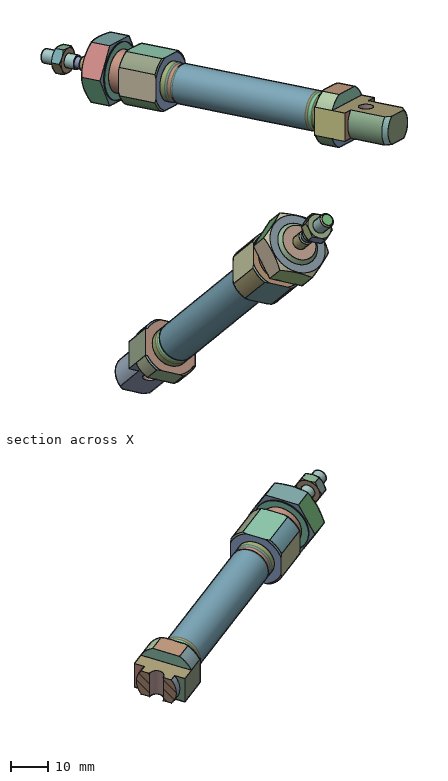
import cadquery as cq
import math

TOTAL_LENGTH = 111.0

CORNER_CHAMFER_ANGLE = 30.0

ROD_DIAMETER = 4.0
ROD_NECK_DIAMETER = 3.2
ROD_TIP_CHAMFER = (ROD_DIAMETER - ROD_NECK_DIAMETER) / 2
ROD_NECK_START = 10.4
ROD_NECK_END = 12.0
ROD_NECK_TAPER = 0.39
ROD_LENGTH = 16.0

ROD_NUT_START = 4.5
ROD_NUT_THICKNESS = 3.0
ROD_NUT_FLATS = 7.0
ROD_NUT_FACE_DIAMETER = ROD_NUT_FLATS

NOSE_START = ROD_LENGTH
NOSE_DIAMETER = 12.0
NOSE_TIP_DIAMETER = 10.0
NOSE_CHAMFER = (NOSE_DIAMETER - NOSE_TIP_DIAMETER) / 2

MOUNT_NUT_START = NOSE_START + NOSE_CHAMFER
MOUNT_NUT_THICKNESS = 7.0
MOUNT_NUT_FLATS = 17.0
MOUNT_NUT_FACE_DIAMETER = 16.6
MOUNT_NUT_WASHER_DIAMETER = 16.0
MOUNT_NUT_WASHER_THICKNESS = 0.3

CAP_FLATS = 15.0
CAP_DIAMETER = 17.0
CAP_FACE_DIAMETER = 16.0
CAP_CHAMFER = (CAP_DIAMETER - CAP_FACE_DIAMETER) / 2 * math.tan(math.radians(CORNER_CHAMFER_ANGLE))
FRONT_CAP_START = 28.0
FRONT_CAP_LENGTH = 11.8
FRONT_CAP_END = FRONT_CAP_START + FRONT_CAP_LENGTH
REAR_CAP_START = 89.5
REAR_CAP_ROUND_END = 95.0
REAR_CAP_END = 99.0

TUBE_DIAMETER = 11.0
GROOVE_DEPTH = 0.5
GROOVE_WIDTH = 2.3
GROOVE_CENTERS = (42.4, 86.5)

TONGUE_THICKNESS = 8.0
TONGUE_DIAMETER = 12.0
TONGUE_TIP_DIAMETER = 10.0
TONGUE_CHAMFER_LENGTH = 1.3
PIN_HOLE_DIAMETER = 4.0
PIN_HOLE_X = 101.0


def plane_at(x):
    """Plane across the axis at x, with its local x along +Y and normal along +X."""
    return cq.Workplane("YZ", origin=(x, 0, 0))


def cylinder(start, end, diameter):
    return plane_at(start).circle(diameter / 2).extrude(end - start)


def revolve_profile(points):
    """Solid of revolution about the axis from (x, radius) points, closed along the axis."""
    outline = [(points[0][0], 0), *points, (points[-1][0], 0)]
    return cq.Workplane("XY").polyline(outline).close().revolve(360, (0, 0, 0), (1, 0, 0))


def hex_prism(start, thickness, flats):
    """Hexagonal bar with two flats facing +Z and -Z."""
    corner_diameter = flats / math.cos(math.pi / 6)
    return plane_at(start).polygon(6, corner_diameter).extrude(thickness)


def nut_blank(start, thickness, flats, face_diameter, chamfer_rear):
    """Hexagonal nut body, its corners chamfered by cones down to the face diameter."""
    corner_radius = flats / 2 / math.cos(math.pi / 6)
    face_radius = face_diameter / 2
    drop = (corner_radius - face_radius) * math.tan(math.radians(CORNER_CHAMFER_ANGLE))
    end = start + thickness
    envelope = [(start, face_radius), (start + drop, corner_radius)]
    if chamfer_rear:
        envelope += [(end - drop, corner_radius), (end, face_radius)]
    else:
        envelope += [(end, corner_radius)]
    return hex_prism(start, thickness, flats).intersect(revolve_profile(envelope))


def make_cap(start, end, chamfer_rear):
    """Square block with corners rounded about the axis, chamfered at the front and optionally the rear."""
    radius = CAP_DIAMETER / 2
    envelope = [(start, CAP_FACE_DIAMETER / 2), (start + CAP_CHAMFER, radius)]
    if chamfer_rear:
        envelope += [(end - CAP_CHAMFER, radius), (end, CAP_FACE_DIAMETER / 2)]
    else:
        envelope += [(end, radius)]
    block = plane_at(start).rect(CAP_FLATS, CAP_FLATS).extrude(end - start)
    return block.intersect(revolve_profile(envelope))


def make_rod():
    radius = ROD_DIAMETER / 2
    neck_radius = ROD_NECK_DIAMETER / 2
    rod = revolve_profile([
        (0, radius - ROD_TIP_CHAMFER),
        (ROD_TIP_CHAMFER, radius),
        (ROD_NECK_START, radius),
        (ROD_NECK_START, neck_radius),
        (ROD_NECK_END, neck_radius),
        (ROD_NECK_END + ROD_NECK_TAPER, radius),
        (ROD_LENGTH, radius),
    ])
    nut = nut_blank(ROD_NUT_START, ROD_NUT_THICKNESS, ROD_NUT_FLATS, ROD_NUT_FACE_DIAMETER, True)
    return rod.union(nut)


def make_nose():
    return revolve_profile([
        (NOSE_START, NOSE_TIP_DIAMETER / 2),
        (NOSE_START + NOSE_CHAMFER, NOSE_DIAMETER / 2),
        (FRONT_CAP_START, NOSE_DIAMETER / 2),
    ])


def make_mount_nut():
    end = MOUNT_NUT_START + MOUNT_NUT_THICKNESS
    hex_thickness = MOUNT_NUT_THICKNESS - MOUNT_NUT_WASHER_THICKNESS
    blank = nut_blank(MOUNT_NUT_START, hex_thickness, MOUNT_NUT_FLATS, MOUNT_NUT_FACE_DIAMETER, False)
    return blank.union(cylinder(end - MOUNT_NUT_WASHER_THICKNESS, end, MOUNT_NUT_WASHER_DIAMETER))


def make_tube():
    """Plain tube with grooves whose S-shaped flanks run tangent into the tube and the floor."""
    radius = TUBE_DIAMETER / 2
    floor_radius = radius - GROOVE_DEPTH
    half_width = GROOVE_WIDTH / 2
    profile = cq.Workplane("XY").moveTo(FRONT_CAP_END, 0).lineTo(FRONT_CAP_END, radius)
    for center in GROOVE_CENTERS:
        profile = (
            profile.lineTo(center - half_width, radius)
            .tangentArcPoint((center - half_width / 2, radius - GROOVE_DEPTH / 2), relative=False)
            .threePointArc((center, floor_radius), (center + half_width / 2, radius - GROOVE_DEPTH / 2))
            .tangentArcPoint((center + half_width, radius), relative=False)
        )
    profile = profile.lineTo(REAR_CAP_START, radius).lineTo(REAR_CAP_START, 0).close()
    return profile.revolve(360, (0, 0, 0), (1, 0, 0))


def tongue_slab(start, end, width):
    return plane_at(start).rect(width, TONGUE_THICKNESS).extrude(end - start)


def make_rear_cap():
    plate = tongue_slab(REAR_CAP_START, REAR_CAP_END, CAP_FLATS)
    return make_cap(REAR_CAP_START, REAR_CAP_ROUND_END, False).union(plate)


def make_tongue():
    round_bar = revolve_profile([
        (REAR_CAP_END, TONGUE_DIAMETER / 2),
        (TOTAL_LENGTH - TONGUE_CHAMFER_LENGTH, TONGUE_DIAMETER / 2),
        (TOTAL_LENGTH, TONGUE_TIP_DIAMETER / 2),
    ])
    return round_bar.intersect(tongue_slab(REAR_CAP_END, TOTAL_LENGTH, TONGUE_DIAMETER))


def make_housing():
    housing = (
        make_nose()
        .union(make_mount_nut())
        .union(make_cap(FRONT_CAP_START, FRONT_CAP_END, True))
        .union(make_tube())
        .union(make_rear_cap())
        .union(make_tongue())
    )
    pin_hole = (
        cq.Workplane("XY", origin=(PIN_HOLE_X, 0, 0))
        .circle(PIN_HOLE_DIAMETER / 2)
        .extrude(TONGUE_THICKNESS, both=True)
    )
    return housing.cut(pin_hole)


rod = make_rod()
housing = make_housing()

result = cq.Compound.makeCompound([rod.val(), housing.val()])